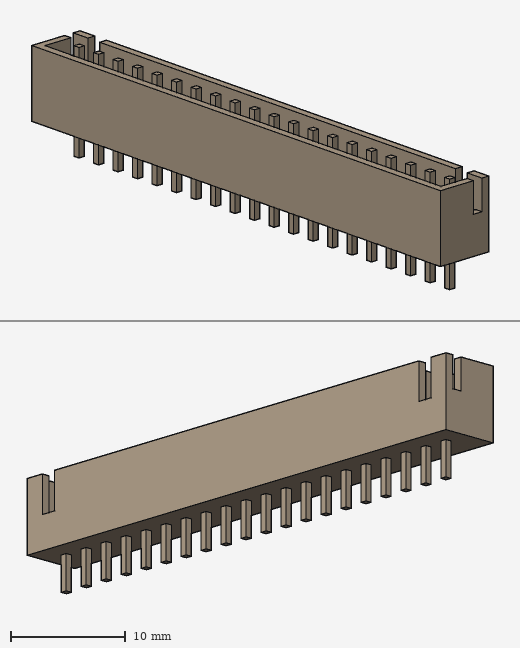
import cadquery as cq

pin_count = 20
pin_pitch = 2.5
pin_width = 0.64
pin_tail_length = 3.4
pin_top_z = 6.8

end_margin = 2.45
housing_length = (pin_count - 1) * pin_pitch + 2 * end_margin
housing_width = 5.75
housing_height = 7.0
back_y = 2.375
front_y = back_y - housing_width
half_length = housing_length / 2

wall_thickness = 0.825
floor_thickness = 2.0
cavity_half_length = half_length - wall_thickness
cavity_front_y = front_y + wall_thickness
cavity_back_y = back_y - wall_thickness

end_slot_width = 1.0
end_slot_depth = 3.1

notch_offset = 1.9
notch_width = 1.5
notch_depth = 3.7


def box_between(x_range, y_range, z_range):
    """Axis-aligned box given by its limits along each axis."""
    corner = (x_range[0], y_range[0], z_range[0])
    size = [high - low for low, high in (x_range, y_range, z_range)]
    return cq.Workplane("XY").box(*size, centered=False).translate(corner)


def make_housing():
    """Rectangular block hollowed from the top."""
    block = box_between(
        (-half_length, half_length),
        (front_y, back_y),
        (0, housing_height),
    )
    cavity = box_between(
        (-cavity_half_length, cavity_half_length),
        (cavity_front_y, cavity_back_y),
        (floor_thickness, housing_height),
    )
    return block.cut(cavity)


def make_end_slots():
    """One bar along X that opens both end walls next to the back wall."""
    return box_between(
        (-half_length, half_length),
        (cavity_back_y - end_slot_width, cavity_back_y),
        (housing_height - end_slot_depth, housing_height),
    )


def make_back_notch(side):
    """Cutter through the back wall near the end on the given side (-1 or +1)."""
    outer_x = side * (half_length - notch_offset)
    inner_x = outer_x - side * notch_width
    return box_between(
        sorted((outer_x, inner_x)),
        (cavity_back_y, back_y),
        (housing_height - notch_depth, housing_height),
    )


def make_pin(index):
    """Square pin that passes through the cavity floor."""
    center_x = (index - (pin_count - 1) / 2) * pin_pitch
    half_width = pin_width / 2
    return box_between(
        (center_x - half_width, center_x + half_width),
        (-half_width, half_width),
        (-pin_tail_length, pin_top_z),
    )


result = make_housing().cut(make_end_slots())
for end_side in (-1, 1):
    result = result.cut(make_back_notch(end_side))
for pin_index in range(pin_count):
    result = result.union(make_pin(pin_index))